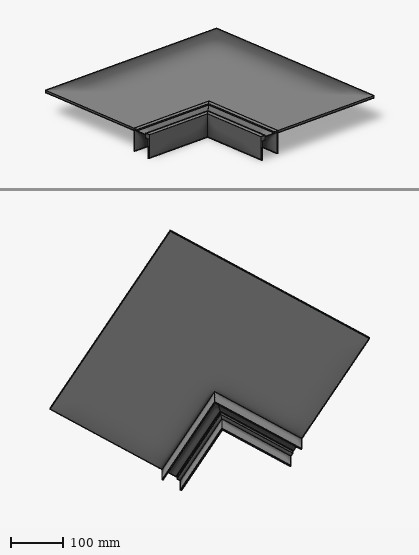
import cadquery as cq


side = 444.5
slab_thickness = 5.0
notch_offset = 250.0

shoulder_width = 9.5
flange_end = 281.0
flange_recess = 2.5
flange_bottom = 3.5
skirt_thickness = 2.2
skirt_depth = 47.5

joint_gap = 2.2
rail_end = 294.0
head_depth = 10.2
wall_thickness = 3.5
wall_depth = 50.0
wall_chamfer = 2.0

rail_start = flange_end + joint_gap


def make_slab():
    """Square slab with a square notch in its (+X, -Y) corner."""
    outline = [
        (0, 0),
        (side, 0),
        (side, -notch_offset),
        (notch_offset, -notch_offset),
        (notch_offset, -side),
        (0, -side),
    ]
    return cq.Workplane("XY").polyline(outline).close().extrude(-slab_thickness)


def mitred_strip(profile):
    """Strip along Y with the given (offset, z) section, cut at 45 degrees at the inner corner."""
    strip = cq.Workplane("XZ").polyline(profile).close().extrude(side)
    mitre_region = (
        cq.Workplane("XY")
        .workplane(offset=-wall_depth)
        .polyline([(0, 0), (side, -side), (0, -side)])
        .close()
        .extrude(wall_depth)
    )
    return strip.intersect(mitre_region)


def make_edge_angle():
    """Angle with a raised shoulder beside the slab and a recessed flange."""
    shoulder_end = notch_offset + shoulder_width
    skirt_end = notch_offset + skirt_thickness
    return mitred_strip([
        (notch_offset, 0),
        (shoulder_end, 0),
        (shoulder_end, -flange_recess),
        (flange_end, -flange_recess),
        (flange_end, -flange_bottom),
        (skirt_end, -flange_bottom),
        (skirt_end, -skirt_depth),
        (notch_offset, -skirt_depth),
    ])


def make_front_rail():
    """Rail with a solid head and a wall flush with its notch side, chamfered along its lower edge."""
    wall_start = rail_end - wall_thickness
    return mitred_strip([
        (rail_start, 0),
        (rail_end, 0),
        (rail_end, wall_chamfer - wall_depth),
        (rail_end - wall_chamfer, -wall_depth),
        (wall_start, -wall_depth),
        (wall_start, -head_depth),
        (rail_start, -head_depth),
    ])


def mirrored_pair(strip):
    """The strip along Y and its mirror image along X, as two solids."""
    crossing = strip.mirror("XZ").rotate((0, 0, 0), (0, 0, 1), -90)
    return [strip.val(), crossing.val()]


slab = make_slab()
edge_angles = mirrored_pair(make_edge_angle())
front_rails = mirrored_pair(make_front_rail())

result = cq.Compound.makeCompound([slab.val(), *edge_angles, *front_rails])